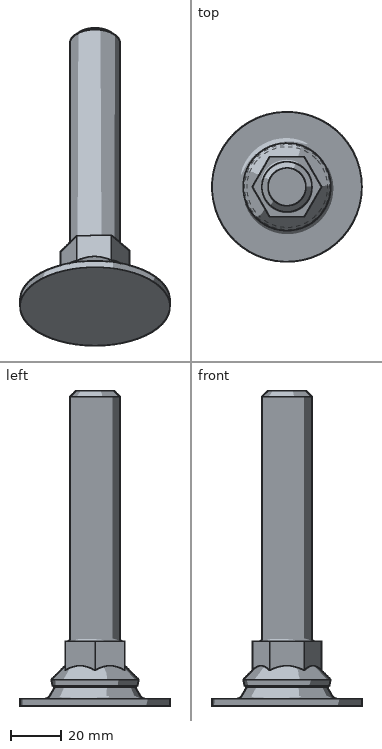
import cadquery as cq
import math

plate_radius = 30.0
plate_thickness = 3.0
hub_top_radius = 16.1
hub_top = 7.5
hub_wall_angle = math.radians(30)
hub_fillet = 2.0

seal_bevel_height = 0.6
seal_lower_radius = 17.0

rim_radius = 17.5
rim_height = 10.6
hex_width = 24.0
hex_top = 26.0
rod_diameter = 20.0
rod_radius = rod_diameter / 2
rod_top = 126.0
rod_root_fillet = 1.0
tip_radius = 7.5
tip_length = 2.4


def revolve_profile(profile):
    """Close a profile drawn as (radius, height), and turn it about the Z axis."""
    return profile.close().revolve(360, (0, 0), (0, 1))


def make_base():
    hub_foot_radius = hub_top_radius + (hub_top - plate_thickness) * math.tan(hub_wall_angle)
    tangent_length = hub_fillet * math.tan((math.pi / 2 - hub_wall_angle) / 2)
    fillet_start = (hub_foot_radius + tangent_length, plate_thickness)
    fillet_end = (
        hub_foot_radius - tangent_length * math.sin(hub_wall_angle),
        plate_thickness + tangent_length * math.cos(hub_wall_angle),
    )
    profile = (
        cq.Workplane("XZ")
        .lineTo(plate_radius, 0)
        .lineTo(plate_radius, plate_thickness)
        .lineTo(*fillet_start)
        .radiusArc(fillet_end, hub_fillet)
        .lineTo(hub_top_radius, hub_top)
        .lineTo(0, hub_top)
    )
    return revolve_profile(profile)


def make_seal():
    profile = (
        cq.Workplane("XZ")
        .moveTo(0, hub_top)
        .lineTo(hub_top_radius, hub_top)
        .lineTo(seal_lower_radius, hub_top + seal_bevel_height)
        .lineTo(rim_radius, rim_height)
        .lineTo(0, rim_height)
    )
    return revolve_profile(profile)


def make_collar():
    cone_top = rim_height + rim_radius - rod_radius
    profile = (
        cq.Workplane("XZ")
        .moveTo(0, rim_height)
        .lineTo(rim_radius, rim_height)
        .lineTo(rod_radius, cone_top)
        .lineTo(0, cone_top)
    )
    return revolve_profile(profile)


def make_hexagon():
    across_corners = hex_width / math.cos(math.pi / 6)
    return (
        cq.Workplane("XY", origin=(0, 0, rim_height))
        .polygon(6, across_corners)
        .extrude(hex_top - rim_height)
    )


def make_rod():
    profile = (
        cq.Workplane("XZ")
        .moveTo(0, hex_top)
        .lineTo(rod_radius + rod_root_fillet, hex_top)
        .radiusArc((rod_radius, hex_top + rod_root_fillet), rod_root_fillet)
        .lineTo(rod_radius, rod_top - tip_length)
        .lineTo(tip_radius, rod_top)
        .lineTo(0, rod_top)
    )
    return revolve_profile(profile)


def make_spindle():
    return make_collar().union(make_hexagon()).union(make_rod())


base = make_base()
seal = make_seal()
spindle = make_spindle()

result = cq.Compound.makeCompound([base.val(), seal.val(), spindle.val()])